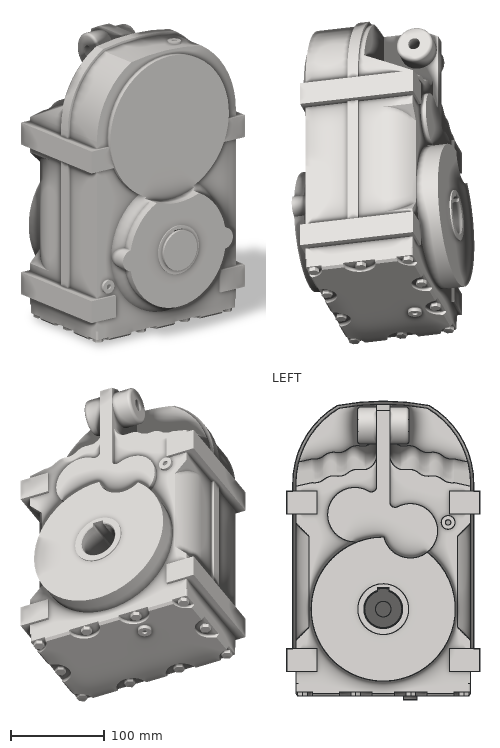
import cadquery as cq
import math


BODY_DEPTH = 118.5
BODY_HALF_WIDTH = 93.5
BODY_TOP = 219.5
BODY_BOTTOM = -93.3
ARCH_CENTER_Z = 134.5
ARCH_CORNER_Y = 47.5
SKIRT_TOP = -79.5
SKIRT_CORNER_RADIUS = 2.2
BOTTOM_CHAMFER = 2.5

BAND_START = 59.5
BAND_WIDTH = 12.0
BAND_HEIGHT = 3.5
BAND_BOTTOM = -54.5

FOOT_START = -3.2
FOOT_LENGTH = 125.3
FOOT_OUTER_Y = 103.5
FOOT_WIDTH = 32.7
FOOT_HEIGHT = 24.7
FOOT_LEVELS = (-67.0, 102.0)

POCKET_LENGTH = 34.3
POCKET_DEPTH = 14.0
POCKET_BOTTOM = -33.3
POCKET_TOP = 92.0

RECESS_DEPTH = 54.5
RECESS_SLOPE = 25.0
FLOOR_Z = 149.7
WAVE_START_Y = 25.0
WAVE_PITCH = 12.8
WAVE_DROP = 3.5
WAVE_ARCS = 4
FLOOR_END_SLOPE = 0.22
WAVE_BULGE = 1.45
RIB_BASE_WIDTH = 11.5
RIB_BASE_HEIGHT = 15.5
OVERSHOOT = 6.5

RIB_HALF_WIDTH = 7.0
RIB_FRONT = -5.8
RIB_CHAMFER_LENGTH = 14.0
RIB_CHAMFER_HEIGHT = 6.7
LOBE_RADIUS = 29.2
LEFT_LOBE = (30.5, 101.3)
RIGHT_LOBE = (-29.2, 84.0)
LOBE_FILLET = 5.8
WEB_BOTTOM = 64.0

EYE_X = 15.7
EYE_Z = 196.8
EYE_RADIUS = 20.0
EYE_HALF_LENGTH = 27.5
EYE_FILLET = 3.2
EYE_HOLE_RADIUS = 6.5

FLANGE_RADIUS = 77.2
FLANGE_FRONT = -23.7
COVER_RADIUS = 79.8
COVER_BACK = 124.5
COVER_CLEARANCE = 2.0
BOSS_RADIUS = 64.7
BOSS_CONE_RADIUS = 74.5
BOSS_CONE_LENGTH = 9.5
BOSS_BACK = 139.0
LUG_RADIUS = 12.0
LUG_Y = 62.2

PLUG_RADIUS = 7.5
PLUG_SOCKET_RADIUS = 3.0
PLUG_SOCKET_DEPTH = 2.5
PLUG_LENGTH = 9.5
FRONT_PLUG = (-3.5, -69.5, 93.0)
REAR_PLUG = (122.0, -80.0, -30.8)
TOP_PLUG = (99.0, 25.3, 220.5)
BOTTOM_PLUG = (29.5, -29.0, -97.5)

SCALLOP_RADIUS = 17.5
SCALLOP_TOP = -89.0
SCALLOP_SIDE_Y = 29.5
SCREW_INSET = 7.0
SCREW_HEAD_WIDTH = 12.0

SHAFT_RADIUS = 27.2
SHAFT_FRONT = -25.3
SHAFT_BACK = 140.5
BORE_RADIUS = 20.0
BORE_CHAMFER = 1.0
KEYWAY_WIDTH = 12.2
KEYWAY_TOP = 23.0
CAP_RADIUS = 22.5
CAP_LENGTH = 3.2
CAP_RECESS_RADIUS = 8.3
CAP_RECESS_DEPTH = 1.5


def yz_plane(x):
    """Workplane at the given X, with local axes along Y and Z."""
    return cq.Workplane("YZ", origin=(x, 0, 0))


def box(x_range, y_range, z_range):
    """Box between the given limits."""
    lengths = [end - start for start, end in (x_range, y_range, z_range)]
    corner = (x_range[0], y_range[0], z_range[0])
    return cq.Workplane("XY", origin=corner).box(*lengths, centered=False)


def disc(x_start, x_end, radius, center=(0, 0)):
    """Cylinder along X, with its centre given as (Y, Z)."""
    return yz_plane(x_start).center(*center).circle(radius).extrude(x_end - x_start)


def arched_slab(x_start, length, bottom, growth=0.0):
    """Slab with straight sides and an arched top, grown outward by the given amount."""
    half_width = BODY_HALF_WIDTH + growth
    corner_y = ARCH_CORNER_Y * half_width / BODY_HALF_WIDTH
    corner_z = ARCH_CENTER_Z + math.sqrt(half_width**2 - corner_y**2)
    mid_y = half_width * math.cos(math.pi / 6)
    mid_z = ARCH_CENTER_Z + half_width * math.sin(math.pi / 6)
    return (
        yz_plane(x_start)
        .moveTo(-half_width, bottom)
        .lineTo(half_width, bottom)
        .lineTo(half_width, ARCH_CENTER_Z)
        .threePointArc((mid_y, mid_z), (corner_y, corner_z))
        .threePointArc((0, BODY_TOP + growth), (-corner_y, corner_z))
        .threePointArc((-mid_y, mid_z), (-half_width, ARCH_CENTER_Z))
        .close()
        .extrude(length)
    )


def shell():
    """Housing block with a round-cornered skirt and the joint band."""
    upper = arched_slab(0, BODY_DEPTH, SKIRT_TOP)
    skirt = box((0, BODY_DEPTH), (-BODY_HALF_WIDTH, BODY_HALF_WIDTH), (BODY_BOTTOM, SKIRT_TOP))
    skirt = skirt.edges("|Z").fillet(SKIRT_CORNER_RADIUS).faces("<Z").chamfer(BOTTOM_CHAMFER)
    band = arched_slab(BAND_START, BAND_WIDTH, BAND_BOTTOM, BAND_HEIGHT)
    return upper.union(skirt).union(band)


def recess_cutter(side):
    """Space above the wavy floor on one side of the rib; side is +1 or -1 along Y."""
    rib_y = RIB_HALF_WIDTH
    root_y = rib_y + RIB_BASE_WIDTH
    root_z = FLOOR_Z + RIB_BASE_HEIGHT
    base_radius = (RIB_BASE_WIDTH**2 + RIB_BASE_HEIGHT**2) / (2 * RIB_BASE_WIDTH)
    mid_angle = math.asin(RIB_BASE_HEIGHT / base_radius) / 2
    mid_y = rib_y + base_radius * (1 - math.cos(mid_angle))
    mid_z = root_z - base_radius * math.sin(mid_angle)
    outer_y = BODY_HALF_WIDTH + OVERSHOOT
    top_z = BODY_TOP + OVERSHOOT
    profile = (
        yz_plane(0)
        .moveTo(side * rib_y, root_z)
        .threePointArc((side * mid_y, mid_z), (side * root_y, FLOOR_Z))
        .lineTo(side * WAVE_START_Y, FLOOR_Z)
    )
    for step in range(1, WAVE_ARCS + 1):
        junction = (side * (WAVE_START_Y + step * WAVE_PITCH), FLOOR_Z - step * WAVE_DROP)
        bulge = WAVE_BULGE if step % 2 else -WAVE_BULGE
        profile = profile.sagittaArc(junction, side * bulge)
    wave_end_y = WAVE_START_Y + WAVE_ARCS * WAVE_PITCH
    outer_z = FLOOR_Z - WAVE_ARCS * WAVE_DROP - FLOOR_END_SLOPE * (outer_y - wave_end_y)
    profile = (
        profile.lineTo(side * outer_y, outer_z)
        .lineTo(side * outer_y, top_z)
        .lineTo(side * rib_y, top_z)
        .close()
    )
    rise = RECESS_DEPTH * math.tan(math.radians(RECESS_SLOPE))
    sweep = cq.Vector(RECESS_DEPTH, 0, rise)
    return cq.Workplane(cq.Solid.extrudeLinear(profile.val(), [], sweep))


def pocket_cutter(side):
    """Rounded front corner with 45 degree end walls; side is +1 or -1 along Y."""
    length = POCKET_LENGTH
    depth = POCKET_DEPTH
    radius = (length**2 + depth**2) / (2 * depth)
    mid_angle = math.asin(length / radius) / 2
    wall_y = BODY_HALF_WIDTH
    mid_point = (length - radius * math.sin(mid_angle), wall_y - radius * (1 - math.cos(mid_angle)))
    corner = (
        cq.Workplane("XY", origin=(0, 0, POCKET_BOTTOM))
        .moveTo(length, side * wall_y)
        .threePointArc((mid_point[0], side * mid_point[1]), (0, side * (wall_y - depth)))
        .lineTo(0, side * wall_y)
        .close()
        .extrude(POCKET_TOP - POCKET_BOTTOM)
    )
    end_walls = (
        yz_plane(0)
        .polyline(
            [
                (side * wall_y, POCKET_BOTTOM),
                (side * wall_y, POCKET_TOP),
                (side * (wall_y - depth), POCKET_TOP - depth),
                (side * (wall_y - depth), POCKET_BOTTOM + depth),
            ]
        )
        .close()
        .extrude(length)
    )
    return corner.intersect(end_walls)


def rib_and_lobes():
    """Raised front plate: the upright rib and the two round gear lobes below it."""
    half_width = RIB_HALF_WIDTH
    plate = box((RIB_FRONT, 0), (-half_width, half_width), (WEB_BOTTOM, BODY_TOP))
    plate = plate.union(disc(RIB_FRONT, 0, LOBE_RADIUS, LEFT_LOBE))
    plate = plate.union(disc(RIB_FRONT, 0, LOBE_RADIUS, RIGHT_LOBE))
    for side, lobe in ((1, LEFT_LOBE), (-1, RIGHT_LOBE)):
        edge_y = side * half_width
        edge_z = lobe[1] + math.sqrt(LOBE_RADIUS**2 - (lobe[0] - edge_y) ** 2)
        inner_corner = cq.NearestToPointSelector((RIB_FRONT / 2, edge_y, edge_z))
        plate = plate.edges("|X").edges(inner_corner).fillet(LOBE_FILLET)
    web = box((RIB_FRONT, 0), (-half_width, LEFT_LOBE[0]), (WEB_BOTTOM, LEFT_LOBE[1]))
    return plate.union(web)


def rib_corner_cutter():
    """Bevel at the upper front corner of the rib."""
    return (
        cq.Workplane("XZ", origin=(0, RIB_HALF_WIDTH, 0))
        .polyline(
            [
                (RIB_FRONT, BODY_TOP),
                (RIB_FRONT + RIB_CHAMFER_LENGTH, BODY_TOP),
                (RIB_FRONT, BODY_TOP - RIB_CHAMFER_HEIGHT),
            ]
        )
        .close()
        .extrude(2 * RIB_HALF_WIDTH)
    )


def eye():
    """Rubber-buffer eye on both sides of the rib."""
    return (
        cq.Workplane("XZ", origin=(EYE_X, EYE_HALF_LENGTH, EYE_Z))
        .circle(EYE_RADIUS)
        .extrude(2 * EYE_HALF_LENGTH)
        .edges()
        .fillet(EYE_FILLET)
    )


def eye_hole():
    """Through hole of the eye."""
    return (
        cq.Workplane("XZ", origin=(EYE_X, EYE_HALF_LENGTH, EYE_Z))
        .circle(EYE_HOLE_RADIUS)
        .extrude(2 * EYE_HALF_LENGTH)
    )


def feet():
    """Four mounting bars along X, two on each side."""
    bars = []
    for level in FOOT_LEVELS:
        for side in (-1, 1):
            limits = sorted((side * FOOT_OUTER_Y, side * (FOOT_OUTER_Y - FOOT_WIDTH)))
            foot_x = (FOOT_START, FOOT_START + FOOT_LENGTH)
            bars.append(box(foot_x, limits, (level, level + FOOT_HEIGHT)))
    return bars


def flange():
    """Front output flange with the clearance notch for the right lobe."""
    notch = disc(FLANGE_FRONT, RIB_FRONT, LOBE_RADIUS, RIGHT_LOBE)
    return disc(FLANGE_FRONT, 0, FLANGE_RADIUS).cut(notch)


def rear_boss():
    """Rear bearing boss with a conical foot and two lugs, cut clear of the round cover."""
    cone_end = BODY_DEPTH + BOSS_CONE_LENGTH
    boss = (
        cq.Workplane("XY")
        .polyline(
            [
                (BODY_DEPTH, 0),
                (BODY_DEPTH, BOSS_CONE_RADIUS),
                (cone_end, BOSS_RADIUS),
                (BOSS_BACK, BOSS_RADIUS),
                (BOSS_BACK, 0),
            ]
        )
        .close()
        .revolve(360, (0, 0, 0), (1, 0, 0))
    )
    for side in (-1, 1):
        boss = boss.union(disc(BODY_DEPTH, BOSS_BACK, LUG_RADIUS, (side * LUG_Y, 0)))
    cover_center = (0, ARCH_CENTER_Z)
    clearance = disc(COVER_BACK, BOSS_BACK, COVER_RADIUS + COVER_CLEARANCE, cover_center)
    return boss.cut(clearance).union(disc(BODY_DEPTH, COVER_BACK, COVER_RADIUS, cover_center))


def plug(head_center, inward):
    """Screw plug and its round socket cutter, both running inward from the outer face."""
    direction = cq.Vector(*inward)
    outer = cq.Vector(*head_center)
    body = cq.Solid.makeCylinder(PLUG_RADIUS, PLUG_LENGTH, outer, direction)
    socket = cq.Solid.makeCylinder(PLUG_SOCKET_RADIUS, PLUG_SOCKET_DEPTH, outer, direction)
    return cq.Workplane(body), cq.Workplane(socket)


def bottom_screw_sites():
    """Each screw as (scallop X, scallop Y, screw X, screw Y)."""
    mid_x = BODY_DEPTH / 2
    sites = []
    for end in (-1, 1):
        edge_x = mid_x + end * mid_x
        screw_x = edge_x - end * SCREW_INSET
        for side in (-1, 1):
            edge_y = side * BODY_HALF_WIDTH
            screw_y = edge_y - side * SCREW_INSET
            sites.append((edge_x, edge_y, screw_x, screw_y))
            sites.append((edge_x, side * SCALLOP_SIDE_Y, screw_x, side * SCALLOP_SIDE_Y))
    for side in (-1, 1):
        edge_y = side * BODY_HALF_WIDTH
        sites.append((mid_x, edge_y, mid_x, edge_y - side * SCREW_INSET))
    return sites


def add_bottom_screws(body):
    """Scallop the bottom edge and leave a hexagon screw head in each scallop."""
    base = cq.Workplane("XY", origin=(0, 0, BODY_BOTTOM))
    height = SCALLOP_TOP - BODY_BOTTOM
    sites = bottom_screw_sites()
    scallops = base.pushPoints([site[:2] for site in sites]).circle(SCALLOP_RADIUS).extrude(height)
    heads = base.pushPoints([site[2:] for site in sites]).polygon(6, SCREW_HEAD_WIDTH).extrude(height)
    return body.cut(scallops).union(heads)


def make_housing():
    """Complete gear housing with the through hole for the output shaft."""
    body = add_bottom_screws(shell())
    for side in (-1, 1):
        body = body.cut(recess_cutter(side)).cut(pocket_cutter(side))
    for part in (rib_and_lobes(), eye(), *feet(), flange(), rear_boss()):
        body = body.union(part)
    body = body.cut(eye_hole()).cut(rib_corner_cutter())
    plugs = (
        (FRONT_PLUG, (1, 0, 0)),
        (REAR_PLUG, (-1, 0, 0)),
        (TOP_PLUG, (0, 0, -1)),
        (BOTTOM_PLUG, (0, 0, 1)),
    )
    for head_center, inward in plugs:
        plug_body, socket = plug(head_center, inward)
        body = body.union(plug_body).cut(socket)
    return body.cut(disc(SHAFT_FRONT, SHAFT_BACK, SHAFT_RADIUS))


def make_shaft():
    """Hollow output shaft with a keyway, closed at the rear by a cap."""
    cap_back = SHAFT_BACK + CAP_LENGTH
    body = disc(SHAFT_FRONT, SHAFT_BACK, SHAFT_RADIUS)
    body = body.cut(disc(SHAFT_FRONT, SHAFT_BACK, BORE_RADIUS))
    body = body.faces("<X").edges("%CIRCLE").edges(cq.selectors.RadiusNthSelector(0)).chamfer(BORE_CHAMFER)
    keyway_y = (-KEYWAY_WIDTH / 2, KEYWAY_WIDTH / 2)
    body = body.cut(box((SHAFT_FRONT, SHAFT_BACK), keyway_y, (0, KEYWAY_TOP)))
    body = body.union(disc(SHAFT_BACK, cap_back, CAP_RADIUS))
    recess = disc(SHAFT_BACK, SHAFT_BACK + CAP_RECESS_DEPTH, CAP_RECESS_RADIUS)
    return body.cut(recess)


housing = make_housing()
shaft = make_shaft()
result = cq.Compound.makeCompound([housing.solids().val(), shaft.solids().val()])